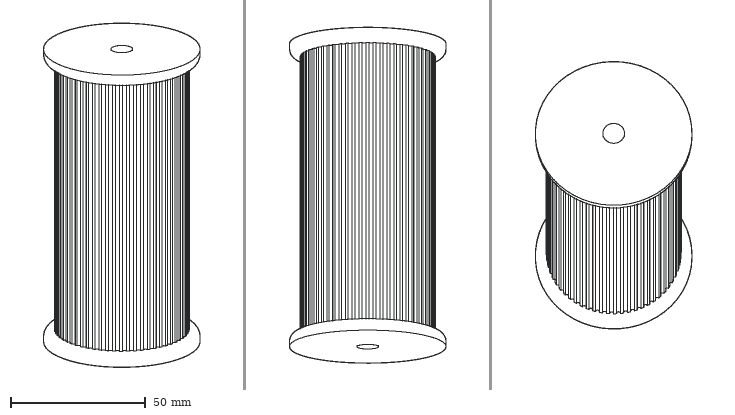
import cadquery as cq

spool_length = 115.0
flange_diameter = 58.2
bore_diameter = 8.0

rim_height = 2.0
rim_round = 3.0
flange_thickness = rim_height + rim_round

barrel_diameter = 50.1
barrel_length = spool_length - 2 * flange_thickness
flute_count = 60
flute_radius = 0.76


def bottom_flange():
    """Disc standing on Z = 0 with its upper (inner) edge rounded."""
    disc = cq.Workplane("XY").circle(flange_diameter / 2).extrude(flange_thickness)
    return disc.faces(">Z").edges().fillet(rim_round)


def fluted_barrel():
    """Cylinder with round-bottomed grooves running along its whole length."""
    inner_face = cq.Workplane("XY").workplane(offset=flange_thickness)
    cylinder = inner_face.circle(barrel_diameter / 2).extrude(barrel_length)
    flutes = (
        inner_face
        .polarArray(barrel_diameter / 2, 0, 360, flute_count)
        .circle(flute_radius)
        .extrude(barrel_length)
    )
    return cylinder.cut(flutes)


lower_flange = bottom_flange()
upper_flange = lower_flange.mirror("XY").translate((0, 0, spool_length))
bore = cq.Workplane("XY").circle(bore_diameter / 2).extrude(spool_length)

result = fluted_barrel().union(lower_flange).union(upper_flange).cut(bore)